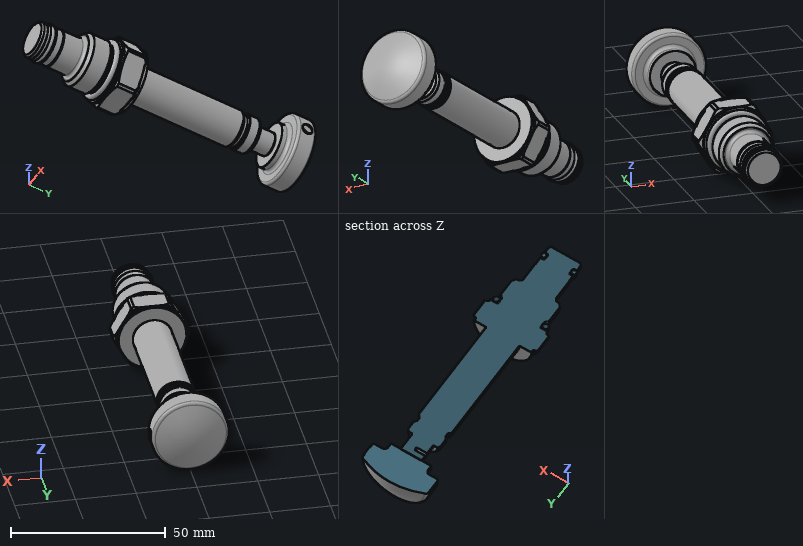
import cadquery as cq
import math


overall_length = 103.4
knob_radius = 12.7
knob_bottom = 93.9
knob_bottom_fillet = 0.9
crown_edge_radius = 11.7
crown_edge_y = 100.9
crown_blend = 1.0
rim_top = 100.0
hub_radius = 7.9
hub_bottom = 90.8
hub_fillet = 1.2
pad_diameter = 3.7
pad_face_x = 12.9
pad_y = 97.3

stem_radius = 4.1
stem_chamfer = 0.3
stem_hole_diameter = 0.9
stem_hole_y = 88.2

tube_top = 84.1
collar_radius = 6.3
collar_chamfer_width = 0.6
collar_chamfer_length = 0.9
collar_bottom = 79.6
tube_groove_radius = 5.6
tube_groove_top = 79.0
tube_groove_bottom = 77.8
tube_groove_lip_radius = 6.0
tube_shoulder_y = 77.2
tube_radius = 6.5
tube_chamfer = 0.3

hex_across_flats = 22.2
hex_corner_radius = 12.5
hex_collar_radius = 11.2
hex_collar_top = 37.2
hex_top = 36.0
hex_top_chamfer_width = 0.6
hex_top_chamfer_length = 0.7
hex_corner_bottom = 28.9
hex_bottom = 28.3
hex_flange_bottom = 27.5

shank_radius = 9.4
shank_top = 25.1
shank_chamfer_end = 24.1
shank_cone_top = 17.9
shank_end = 16.4
shank_end_radius = 8.3

nose_radius = 6.5
nose_fillet = 1.1
nose_step_y = 7.9
nose_step_bevel = 0.3
nose_tip_radius = 6.4
nose_groove_top = 5.4
nose_groove_bottom = 3.2
nose_end_step_y = 2.0
nose_end_radius = 6.3
nose_chamfer = 0.7

large_ring_section = 1.1
large_ring_radius = 9.5
large_ring_y = hex_flange_bottom - large_ring_section
small_ring_section = 0.9
small_ring_radius = 5.9
small_ring_y = nose_groove_bottom + small_ring_section

large_groove_radius = large_ring_radius - large_ring_section
small_groove_radius = small_ring_radius - small_ring_section


def turn(profile):
    """Turn a closed (radius, y) profile about the Y axis."""
    return profile.close().revolve(360, (0, 0, 0), (0, 1, 0))


def corner_point(centre_radius, centre_y, radius, degrees):
    """Point on a corner arc, as (radius, y)."""
    angle = math.radians(degrees)
    return centre_radius + radius * math.cos(angle), centre_y + radius * math.sin(angle)


def make_knob():
    """Mushroom knob with a solid hub and one round pad on its rim."""
    crown_height = overall_length - crown_edge_y
    sphere_radius = (crown_edge_radius ** 2 + crown_height ** 2) / (2 * crown_height)
    mid_radius = crown_edge_radius / 2
    mid_y = overall_length - sphere_radius + math.sqrt(sphere_radius ** 2 - mid_radius ** 2)
    rim_bottom = knob_bottom + knob_bottom_fillet

    knob = turn(
        cq.Workplane("XY")
        .moveTo(0, hub_bottom)
        .lineTo(hub_radius, hub_bottom)
        .lineTo(hub_radius, knob_bottom - hub_fillet)
        .threePointArc(
            corner_point(hub_radius + hub_fillet, knob_bottom - hub_fillet, hub_fillet, 135),
            (hub_radius + hub_fillet, knob_bottom),
        )
        .lineTo(knob_radius - knob_bottom_fillet, knob_bottom)
        .threePointArc(
            corner_point(knob_radius - knob_bottom_fillet, rim_bottom, knob_bottom_fillet, -45),
            (knob_radius, rim_bottom),
        )
        .lineTo(knob_radius, rim_top)
        .radiusArc((crown_edge_radius, crown_edge_y), -crown_blend)
        .threePointArc((mid_radius, mid_y), (0, overall_length))
    )
    pad = cq.Workplane("YZ").center(pad_y, 0).circle(pad_diameter / 2).extrude(pad_face_x)
    return knob.union(pad)


def make_hexagon():
    """Hexagon with its corners turned round and both ends bevelled, with a corner on X."""
    hex_length = hex_collar_top - hex_flange_bottom
    prism = (
        cq.Workplane("XZ", origin=(0, hex_collar_top, 0))
        .polygon(6, hex_across_flats / math.cos(math.pi / 6))
        .extrude(hex_length)
    )
    envelope = turn(
        cq.Workplane("XY")
        .moveTo(0, hex_bottom)
        .lineTo(hex_collar_radius, hex_bottom)
        .lineTo(hex_corner_radius, hex_corner_bottom)
        .lineTo(hex_corner_radius, hex_top - hex_top_chamfer_length)
        .lineTo(hex_corner_radius - hex_top_chamfer_width, hex_top)
        .lineTo(0, hex_top)
    )
    return prism.intersect(envelope)


def make_stem_hole():
    """Cutter for the blind hole on the -X side of the stem, which ends at the axis."""
    return (
        cq.Workplane("YZ")
        .center(stem_hole_y, 0)
        .circle(stem_hole_diameter / 2)
        .extrude(-stem_radius)
    )


def make_cartridge():
    """Stem, tube, collars, shank and nose turned in one profile, plus the hexagon."""
    turned = turn(
        cq.Workplane("XY")
        .moveTo(0, 0)
        .lineTo(nose_end_radius - nose_chamfer, 0)
        .lineTo(nose_end_radius, nose_chamfer)
        .lineTo(nose_end_radius, nose_end_step_y)
        .lineTo(nose_tip_radius, nose_end_step_y)
        .lineTo(nose_tip_radius, nose_groove_bottom)
        .lineTo(small_groove_radius, nose_groove_bottom)
        .lineTo(small_groove_radius, nose_groove_top)
        .lineTo(nose_tip_radius, nose_groove_top)
        .lineTo(nose_tip_radius, nose_step_y)
        .lineTo(nose_radius, nose_step_y + nose_step_bevel)
        .lineTo(nose_radius, shank_end - nose_fillet)
        .threePointArc(
            corner_point(nose_radius + nose_fillet, shank_end - nose_fillet, nose_fillet, 135),
            (nose_radius + nose_fillet, shank_end),
        )
        .lineTo(shank_end_radius, shank_end)
        .lineTo(shank_radius, shank_cone_top)
        .lineTo(shank_radius, shank_chamfer_end)
        .lineTo(large_groove_radius, shank_top)
        .lineTo(large_groove_radius, hex_flange_bottom)
        .lineTo(hex_collar_radius, hex_flange_bottom)
        .lineTo(hex_collar_radius, hex_bottom)
        .lineTo(tube_radius, hex_bottom)
        .lineTo(tube_radius, hex_top)
        .lineTo(hex_collar_radius, hex_top)
        .lineTo(hex_collar_radius, hex_collar_top)
        .lineTo(tube_radius, hex_collar_top)
        .lineTo(tube_radius, tube_shoulder_y - tube_chamfer)
        .lineTo(tube_radius - tube_chamfer, tube_shoulder_y)
        .lineTo(tube_groove_lip_radius, tube_shoulder_y)
        .lineTo(tube_groove_radius, tube_groove_bottom)
        .lineTo(tube_groove_radius, tube_groove_top)
        .lineTo(tube_groove_lip_radius, collar_bottom)
        .lineTo(collar_radius, collar_bottom)
        .lineTo(collar_radius, tube_top - collar_chamfer_length)
        .lineTo(collar_radius - collar_chamfer_width, tube_top)
        .lineTo(stem_radius, tube_top)
        .lineTo(stem_radius, hub_bottom - stem_chamfer)
        .lineTo(stem_radius - stem_chamfer, hub_bottom)
        .lineTo(0, hub_bottom)
    )
    return turned.union(make_hexagon()).cut(make_stem_hole())


def make_seal_ring(centre_radius, section_radius, centre_y):
    """Round-section sealing ring about the Y axis."""
    section = cq.Workplane("XY").center(centre_radius, centre_y).circle(section_radius)
    return section.revolve(360, (-centre_radius, 0, 0), (-centre_radius, 1, 0))


knob = make_knob()
cartridge = make_cartridge()
seal_rings = [
    make_seal_ring(*ring)
    for ring in (
        (large_ring_radius, large_ring_section, large_ring_y),
        (small_ring_radius, small_ring_section, small_ring_y),
    )
]

result = cq.Compound.makeCompound(
    [knob.val(), cartridge.val(), *[ring.val() for ring in seal_rings]]
)